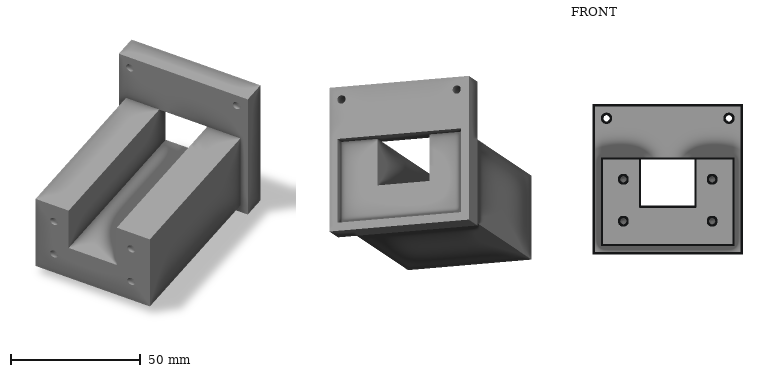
import cadquery as cq
import math

plate_side = 57.0
plate_thickness = 10.0
total_length = 81.0

block_width = 50.55
block_height = 33.2
block_bottom = 3.2
slot_width = 21.2
slot_depth = 18.5

recess_depth = plate_thickness / 2

mount_hole_diameter = 3.3
mount_hole_spacing = 47.15
mount_hole_top_offset = 5.0
screw_hole_diameter = 3.3
screw_hole_depth = 10.0
screw_tip_angle = 118.0
screw_spacing_x = 34.2
screw_spacing_z = 16.1
lower_screw_height = 12.4

block_length = total_length - plate_thickness
slot_floor = block_bottom + block_height - slot_depth
recess_floor = total_length - recess_depth
mount_hole_height = plate_side - mount_hole_top_offset


def box(width, length, height, front, bottom):
    """Box centred on X, with its front face and underside at the given places."""
    centred_box = cq.Workplane("XY").box(width, length, height, centered=(True, False, False))
    return centred_box.translate((0, front, bottom))


def blind_screw_hole(x, z):
    """Drilled hole with a conical tip, entering the front face of the block."""
    radius = screw_hole_diameter / 2
    tip_length = radius / math.tan(math.radians(screw_tip_angle / 2))
    half_section = (
        cq.Workplane("XY")
        .lineTo(radius, 0)
        .lineTo(radius, screw_hole_depth)
        .lineTo(0, screw_hole_depth + tip_length)
        .close()
    )
    return half_section.revolve(360, (0, 0), (0, 1)).translate((x, 0, z))


def make_plate():
    """Square end plate with a window, a back recess and two mounting holes."""
    plate = box(plate_side, plate_thickness, plate_side, block_length, 0)
    plate = plate.cut(box(slot_width, plate_thickness, slot_depth, block_length, slot_floor))
    plate = plate.cut(box(block_width, recess_depth, block_height, recess_floor, block_bottom))
    for side in (-1, 1):
        hole = (
            cq.Workplane("XZ", origin=(side * mount_hole_spacing / 2, block_length, mount_hole_height))
            .circle(mount_hole_diameter / 2)
            .extrude(-plate_thickness)
        )
        plate = plate.cut(hole)
    return plate


def make_channel_block():
    """Block with an open-topped slot along Y and four blind screw holes."""
    block = box(block_width, block_length, block_height, 0, block_bottom)
    block = block.cut(box(slot_width, block_length, slot_depth, 0, slot_floor))
    for side in (-1, 1):
        for row in range(2):
            x = side * screw_spacing_x / 2
            z = lower_screw_height + row * screw_spacing_z
            block = block.cut(blind_screw_hole(x, z))
    return block


plate = make_plate()
channel_block = make_channel_block()

result = cq.Compound.makeCompound([plate.val(), channel_block.val()])